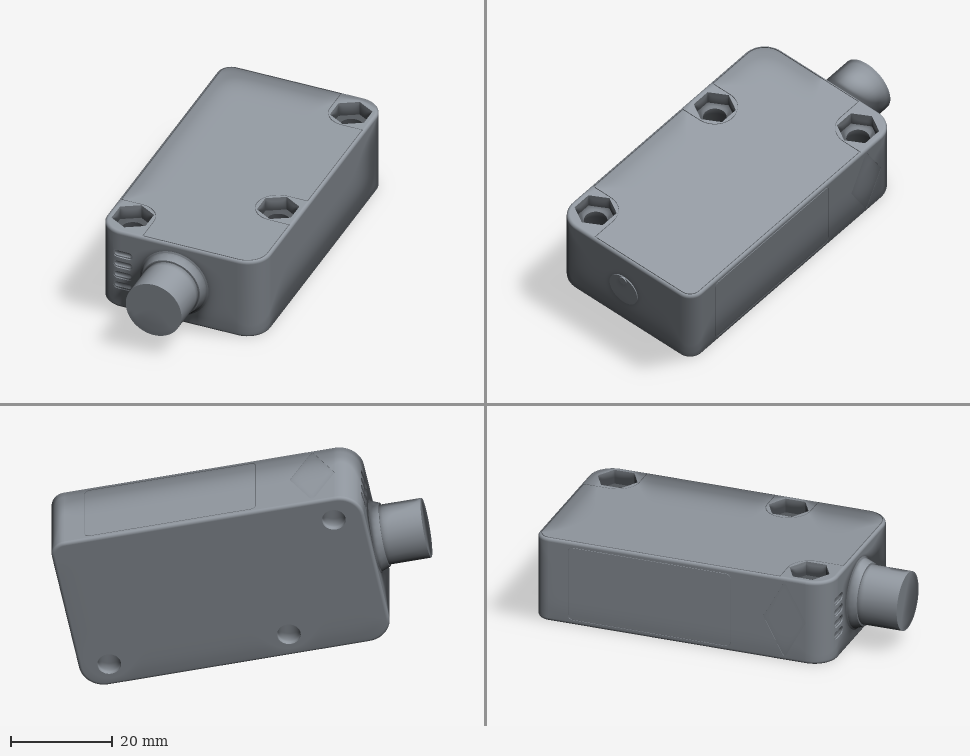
import cadquery as cq
import math

body_x = 35.0
body_y = 62.1
body_z = 18.0
corner_radius = 4.95
small_corner_radius = 3.0
rim_fillet = 0.65

hole_diameter = 4.65
hole_x = 12.5
end_hole_y = 25.0
middle_hole_y = -11.0
hex_across_flats = 7.3
hex_depth = 3.0
hole_points = [(hole_x, end_hole_y), (hole_x, middle_hole_y), (-hole_x, -end_hole_y)]

cover_inset = 0.5
cover_notch_radius = 4.45
seam_width = 0.2
notch_seam_width = 0.15
cover_tip_radius = 0.3
seam_depth = 0.2

connector_x = -1.0
connector_diameter = 11.9
connector_length = 10.2
flange_length = 1.9
flange_base_diameter = 14.05
flange_tip_diameter = 12.7
ring_diameter = 14.7
ring_height = 0.2

window_count = 4
window_pitch = 2.5
window_x = -12.1
window_length = 4.2
window_height = 1.7
window_step_depth = 0.3
window_groove_length = 3.65
window_groove_height = 1.1

label_y = 6.8
label_length = 34.35
label_height = 15.85
label_corner_radius = 1.0
label_seam_width = 0.15
label_seam_depth = 0.15
diamond_y = -21.7
diamond_length = 9.0
diamond_height = 16.7
diamond_corner_radius = 0.45
diamond_depth = 0.1

disc_radius = 3.6
disc_height = 0.2
dot_radius = 0.9
dot_height = 0.45

half_x = body_x / 2
half_y = body_y / 2
half_z = body_z / 2


def rounded_block(inset, height):
    """Housing outline offset inwards, extruded up from Z = 0."""
    block = cq.Workplane("XY").rect(body_x - 2 * inset, body_y - 2 * inset).extrude(height)
    block = block.edges("|Z and (<Y or (>X and >Y))").fillet(corner_radius - inset)
    return block.edges("|Z and <X and >Y").fillet(small_corner_radius - inset)


def housing():
    body = rounded_block(0, body_z).translate((0, 0, -half_z))
    return body.faces("<Z or >Z").edges().fillet(rim_fillet)


def cover_notch(x, y, radius):
    """Clearance round one nut pocket, open to the nearby side and, at a corner, to the end as well."""
    side = math.copysign(1, x)
    end = math.copysign(1, y)
    squares = [(x + side * radius, y)]
    if abs(y) == end_hole_y:
        squares += [(x, y + end * radius), (x + side * radius, y + end * radius)]
    notch = cq.Workplane("XY").center(x, y).circle(radius).extrude(seam_depth)
    for center in squares:
        square = cq.Workplane("XY").center(*center).rect(2 * radius, 2 * radius)
        notch = notch.union(square.extrude(seam_depth))
    return notch


def cover_tips(x, y, inset, radius):
    """The two sharp corners that a notch leaves on the cover outline."""
    side = math.copysign(1, x)
    end = math.copysign(1, y)
    side_x = side * (half_x - inset)
    first_tip = (side_x, y - end * radius)
    if abs(y) == end_hole_y:
        return [first_tip, (x - side * radius, end * (half_y - inset))]
    return [first_tip, (side_x, y + end * radius)]


def cover_plate(inset, radius):
    """Cover outline as a thin plate, notched around the three nut pockets."""
    plate = rounded_block(inset, seam_depth)
    for x, y in hole_points:
        plate = plate.cut(cover_notch(x, y, radius))
    return plate


def cover_seam():
    inset = cover_inset + seam_width
    radius = cover_notch_radius + notch_seam_width
    cover = cover_plate(inset, radius)
    for x, y in hole_points:
        for tip in cover_tips(x, y, inset, radius):
            tip_edge = cq.selectors.NearestToPointSelector((*tip, seam_depth / 2))
            cover = cover.edges("|Z").edges(tip_edge).fillet(cover_tip_radius)
    seam = cover_plate(cover_inset, cover_notch_radius).cut(cover)
    return seam.translate((0, 0, half_z - seam_depth))


def mounting_holes():
    hex_diameter = hex_across_flats / math.cos(math.pi / 6)
    holes = cq.Workplane("XY").pushPoints(hole_points).circle(hole_diameter / 2).extrude(body_z, both=True)
    pocket = cq.Workplane("XY").polygon(6, hex_diameter).extrude(hex_depth)
    pocket = pocket.rotate((0, 0, 0), (0, 0, 1), 30)
    for x, y in hole_points:
        holes = holes.union(pocket.translate((x, y, half_z - hex_depth)))
    return holes


def connector():
    """Stepped round profile turned about the connector axis, starting inside the housing."""
    root = 0.7
    profile = [
        (0, root),
        (ring_diameter / 2, root),
        (ring_diameter / 2, 0),
        (flange_base_diameter / 2, -ring_height),
        (flange_tip_diameter / 2, -flange_length),
        (connector_diameter / 2, -flange_length),
        (connector_diameter / 2, -connector_length),
        (0, -connector_length),
    ]
    turned = cq.Workplane("XY").polyline(profile).close().revolve(360, (0, 0, 0), (0, 1, 0))
    return turned.translate((connector_x, -half_y, 0))


def window_recess(z):
    """Shallow slot with a round-ended, half-round groove in its floor."""
    step = cq.Workplane("XZ", origin=(window_x, -half_y + window_step_depth, z))
    step = step.slot2D(window_length, window_height).extrude(window_step_depth)
    radius = window_groove_height / 2
    half_straight = window_groove_length / 2 - radius
    groove = cq.Workplane("YZ").circle(radius).extrude(half_straight, both=True)
    for end_x in (-half_straight, half_straight):
        groove = groove.union(cq.Workplane("XY").sphere(radius).translate((end_x, 0, 0)))
    return step.union(groove.translate((window_x, -half_y + window_step_depth, z)))


def label_seam():
    def plate(inset):
        length = label_length - 2 * inset
        height = label_height - 2 * inset
        block = cq.Workplane("XY").box(2 * label_seam_depth, length, height)
        return block.edges("|X").fillet(label_corner_radius - inset)

    return plate(0).cut(plate(label_seam_width)).translate((-half_x, label_y, 0))


def diamond_recess():
    half_length = diamond_length / 2
    half_height = diamond_height / 2
    points = [(half_length, 0), (0, half_height), (-half_length, 0), (0, -half_height)]
    diamond = cq.Workplane("YZ").polyline(points).close().extrude(diamond_depth)
    return diamond.edges("|X").fillet(diamond_corner_radius).translate((-half_x, diamond_y, 0))


def end_disc():
    disc = cq.Workplane("XZ", origin=(0, half_y, 0)).circle(disc_radius).extrude(-disc_height)
    dot_z = disc_radius - dot_radius
    dot = cq.Workplane("XZ", origin=(0, half_y, dot_z)).circle(dot_radius).extrude(-dot_height)
    return disc.union(dot)


result = housing().cut(mounting_holes()).cut(cover_seam()).cut(label_seam()).cut(diamond_recess())
for index in range(window_count):
    result = result.cut(window_recess((index - (window_count - 1) / 2) * window_pitch))
result = result.union(connector()).union(end_disc())